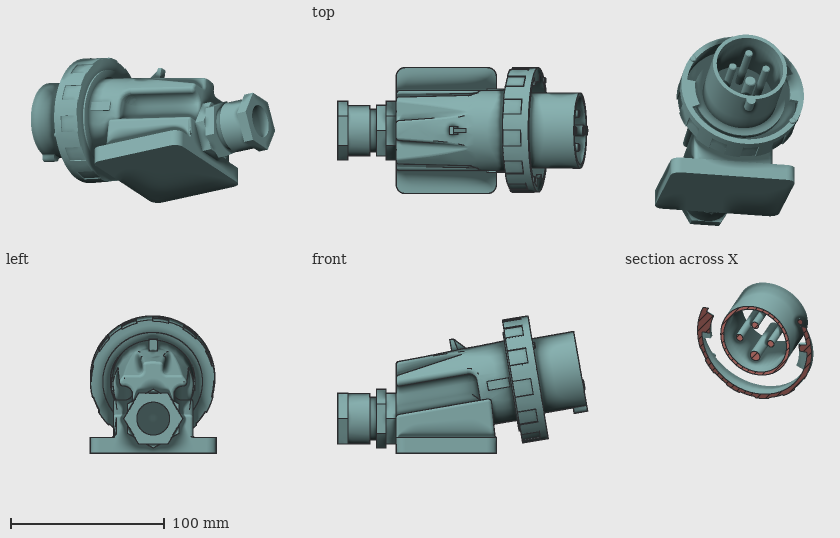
import cadquery as cq
import math


AXIS_TILT = 10.0
AXIS_Z = 34.1
RING_TILT = 9.35
RING_OFFSET_Y = 0.4
RING_REAR = (75.6, 46.7)

PLATE_LENGTH = 65.3
PLATE_WIDTH = 82.0
PLATE_HEIGHT = 10.4
PLATE_CORNER_RADIUS = 6.0
FOOT_WIDTH = 51.8
FOOT_TOP_LENGTH = 61.8
FOOT_BOTTOM_LENGTH = 64.4
FOOT_EDGE_RADIUS = 2.3
REAR_EDGE_RADIUS = 2.0
FOOT_BASE_RADIUS = 1.0
EDGE_MARGIN = 0.05

BODY_REAR_RADIUS = 24.9
BODY_FRONT_RADIUS = 26.5
BODY_END = 82.0
FLANGE_START = 82.0
FLANGE_RADIUS = 30.0
FLANGE_THICKNESS = 3.0
SLEEVE_RADIUS = 24.5
SLEEVE_BORE_RADIUS = 22.0
SLEEVE_END = 121.5
SLEEVE_DEPTH = 40.0
REAR_OVERRUN = 12.0

CHANNEL_END = 54.0
CHANNEL_WALL_Y = 13.5
CHANNEL_HALF_HEIGHT = 9.0
CHANNEL_RADIUS = 5.5
CHANNEL_CORNER_RADIUS = 5.0
CHANNEL_LIP_RADIUS = 2.5

GROOVE_SLOPE = 18.2
GROOVE_REAR_Z = 50.3
GROOVE_WALL_REAR_Y = 6.3
GROOVE_TIP_X = 50.5
GROOVE_TIP_Y = 10.0
GROOVE_FILLET = 3.0
GROOVE_RIM_RADIUS = 2.0

NUB_WIDTH = 5.4
NUB_FIN_WIDTH = 2.4
NUB_REAR_FOOT = (36.5, 64.0)
NUB_REAR_TOP = (34.8, 74.0)
NUB_CREST = (37.4, 74.3)
NUB_FRONT_FOOT = (41.5, 64.0)
NUB_FIN_TIP = (48.0, 66.4)

STRIP_START = 60.3
STRIP_END = 74.6
STRIP_HEIGHT = 5.9
STRIP_CENTER = -0.8
STRIP_FACE_Y = 27.1

KEY_WIDTH = 6.0
KEY_REACH = 28.2
KEY_LENGTH = 9.0
PIN_CIRCLE_RADIUS = 11.0
PHASE_PIN_DIAMETER = 5.0
PHASE_PIN_SETBACK = 0.5
EARTH_PIN_DIAMETER = 7.0
EARTH_PIN_PROJECTION = 0.8
PIN_TIP_CHAMFER = 0.6

GLAND_Z = 22.6
GLAND_HEX_ACROSS_FLATS = 33.2
GLAND_BASE_HEX_LENGTH = 6.4
GLAND_LOCK_HEX_LENGTH = 6.4
GLAND_NECK_LENGTH = 4.2
GLAND_BARREL_LENGTH = 14.3
GLAND_CAP_HEX_LENGTH = 6.6
GLAND_NECK_DIAMETER = 28.0
GLAND_BARREL_DIAMETER = 32.8
GLAND_BORE_DIAMETER = 21.4

RING_RADIUS = 40.5
RING_LENGTH = 17.0
RING_BORE_RADIUS = 27.5
RING_CAVITY_RADIUS = 37.0
RING_REAR_WALL = 5.0
COLLAR_RADIUS = 32.4
COLLAR_LENGTH = 1.0
GRIP_COUNT = 12
GRIP_ANGLE = 15.0
GRIP_LENGTH = 12.0
GRIP_DEPTH = 0.8
LUG_INNER_RADIUS = 31.5
LUG_START_ANGLE = -8.0
LUG_ANGLE = 32.0
LUG_THICKNESS = 3.0
KNOB_CIRCLE_RADIUS = 38.4
KNOB_ANGLE = -33.0
KNOB_DIAMETER = 4.0
KNOB_HEIGHT = 1.4
KNOB_CHAMFER = 0.5

TILT = math.radians(AXIS_TILT)


def tilted_plane(tilt, origin):
    """Plane across a tilted axis: local x is +Y, local y points up, the normal points forward."""
    angle = math.radians(tilt)
    return cq.Plane(origin=origin, xDir=(0, 1, 0), normal=(math.cos(angle), 0, math.sin(angle)))


def plug_section(station):
    """Workplane across the plug axis at a distance along it."""
    origin = (station * math.cos(TILT), 0, AXIS_Z + station * math.sin(TILT))
    return cq.Workplane(tilted_plane(AXIS_TILT, origin))


def mirrored_pair(shape):
    return shape.union(shape.mirror("XZ"))


def side_profile(points, width):
    """Extrude an XZ outline symmetrically about the middle plane."""
    return cq.Workplane("XZ").polyline(points).close().extrude(width / 2, both=True)


def annular_sector(plane, inner, outer, start, sweep, length):
    """Extruded ring segment between two radii and two angles."""
    def at(radius, angle):
        turn = math.radians(angle)
        return (radius * math.cos(turn), radius * math.sin(turn))
    middle, end = start + sweep / 2, start + sweep
    return (cq.Workplane(plane)
            .moveTo(*at(inner, start)).lineTo(*at(outer, start))
            .threePointArc(at(outer, middle), at(outer, end))
            .lineTo(*at(inner, end))
            .threePointArc(at(inner, middle), at(inner, start))
            .close().extrude(length))


def round_body():
    """Slightly conical body, starting behind the rear face."""
    slope = (BODY_FRONT_RADIUS - BODY_REAR_RADIUS) / BODY_END
    start_radius = BODY_REAR_RADIUS - slope * REAR_OVERRUN
    length = BODY_END + REAR_OVERRUN
    return (plug_section(-REAR_OVERRUN).circle(start_radius)
            .workplane(offset=length).circle(BODY_FRONT_RADIUS).loft(combine=True))


def foot():
    """Block that carries the round body on the plate; its top runs along the channel floor."""
    top_rear_z = AXIS_Z - CHANNEL_HALF_HEIGHT / math.cos(TILT)
    top_front_z = top_rear_z + FOOT_TOP_LENGTH * math.tan(TILT)
    outline = [(0, PLATE_HEIGHT), (FOOT_BOTTOM_LENGTH, PLATE_HEIGHT),
               (FOOT_TOP_LENGTH, top_front_z), (0, top_rear_z)]
    block = side_profile(outline, FOOT_WIDTH)
    front_edges = block.faces(">X").edges("not <Z")
    side_edges = block.faces(">Z").edges("not |Y")
    return block.newObject([*front_edges.vals(), *side_edges.vals()]).fillet(FOOT_EDGE_RADIUS)


def side_channel():
    """Rounded channel along the +Y side, between the foot and the round body."""
    length = CHANNEL_END + REAR_OVERRUN
    middle_y = (CHANNEL_WALL_Y + FOOT_WIDTH) / 2
    channel = (plug_section(-REAR_OVERRUN).center(middle_y, 0)
               .rect(FOOT_WIDTH - CHANNEL_WALL_Y, 2 * CHANNEL_HALF_HEIGHT).extrude(length))
    channel = channel.faces(">X").edges("|Y").edges(">Z").fillet(CHANNEL_CORNER_RADIUS)
    return channel.faces("<Y").edges().fillet(CHANNEL_RADIUS)


def top_groove():
    """Wedge-shaped groove beside the +Y side of the crest, running out at its tip."""
    tip_z = GROOVE_REAR_Z + GROOVE_TIP_X * math.tan(math.radians(GROOVE_SLOPE))
    floor_outline = [(0, GROOVE_REAR_Z), (GROOVE_TIP_X, tip_z), (0, tip_z + REAR_OVERRUN)]
    wedge = cq.Workplane("XZ").polyline(floor_outline).close().extrude(-FOOT_WIDTH)
    plan = (cq.Workplane("XY").polyline([(0, GROOVE_WALL_REAR_Y), (GROOVE_TIP_X, GROOVE_TIP_Y),
                                         (GROOVE_TIP_X, FOOT_WIDTH), (0, FOOT_WIDTH)])
            .close().extrude(2 * PLATE_WIDTH))
    wedge = wedge.intersect(plan)
    return wedge.faces("<Y").edges("<Z").fillet(GROOVE_FILLET)


def groove_rims(body):
    """Long curved edges where the top grooves break out of the round body."""
    rims = []
    for edge in body.edges("not #X").vals():
        box = edge.BoundingBox()
        along_groove = GROOVE_TIP_X / 2 < box.xlen < BODY_END - REAR_OVERRUN
        if along_groove and edge.geomType() != "LINE" and box.zmin > GROOVE_REAR_Z - EDGE_MARGIN:
            rims.append(edge)
    return body.newObject(rims)


def channel_lips(body):
    """Curved edges where the side channels break out of the round body."""
    lips = []
    for edge in body.edges("not #X").vals():
        box = edge.BoundingBox()
        outside = min(abs(box.ymin), abs(box.ymax)) > BODY_REAR_RADIUS - CHANNEL_LIP_RADIUS
        above_foot = box.zmin > AXIS_Z and edge.geomType() != "LINE"
        if outside and above_foot and box.xmax < BODY_END - REAR_OVERRUN:
            lips.append(edge)
    return body.newObject(lips)


def upper_housing():
    behind = cq.Workplane("YZ").rect(4 * PLATE_WIDTH, 4 * PLATE_WIDTH).extrude(-4 * REAR_OVERRUN)
    body = round_body().cut(behind)
    body = body.cut(mirrored_pair(top_groove()))
    body = groove_rims(body).fillet(GROOVE_RIM_RADIUS)
    body = body.cut(mirrored_pair(side_channel()))
    body = channel_lips(body).fillet(CHANNEL_LIP_RADIUS)
    body = body.union(foot())
    rear_edges = cq.selectors.BoxSelector(
        (-EDGE_MARGIN, -PLATE_WIDTH, PLATE_HEIGHT + EDGE_MARGIN), (EDGE_MARGIN, PLATE_WIDTH, PLATE_WIDTH))
    return body.edges(rear_edges).fillet(REAR_EDGE_RADIUS)


plate = (cq.Workplane("XY").box(PLATE_LENGTH, PLATE_WIDTH, PLATE_HEIGHT, centered=(False, True, False))
         .edges("|Z").fillet(PLATE_CORNER_RADIUS))


def housing_on_plate():
    """Upper housing joined to the plate, with a small fillet around the foot."""
    joined = upper_housing().union(plate)
    half_width = FOOT_WIDTH / 2 + EDGE_MARGIN
    foot_outline = cq.selectors.BoxSelector(
        (0, -half_width, PLATE_HEIGHT - EDGE_MARGIN),
        (PLATE_LENGTH, half_width, PLATE_HEIGHT + EDGE_MARGIN))
    return joined.edges(foot_outline).edges("|X").fillet(FOOT_BASE_RADIUS)


def latch_nub():
    block = side_profile([NUB_REAR_FOOT, NUB_REAR_TOP, NUB_CREST, NUB_FRONT_FOOT], NUB_WIDTH)
    fin = side_profile([NUB_CREST, NUB_FIN_TIP, NUB_FRONT_FOOT], NUB_FIN_WIDTH)
    return block.union(fin)


def side_strips():
    return (plug_section(STRIP_START).center(0, STRIP_CENTER)
            .rect(2 * STRIP_FACE_Y, STRIP_HEIGHT).extrude(STRIP_END - STRIP_START))


def retaining_flange():
    """Flange that holds the coupling ring from inside its cavity."""
    return plug_section(FLANGE_START).circle(FLANGE_RADIUS).extrude(FLANGE_THICKNESS)


def sleeve():
    """Plug sleeve with its key below and its pocket open to the front."""
    shell_start = BODY_END - 1
    shell = plug_section(shell_start).circle(SLEEVE_RADIUS).extrude(SLEEVE_END - shell_start)
    key_plane = plug_section(SLEEVE_END - KEY_LENGTH)
    key_center = KEY_REACH - KEY_WIDTH / 2
    key = key_plane.center(0, -key_center).circle(KEY_WIDTH / 2).extrude(KEY_LENGTH)
    web = (plug_section(SLEEVE_END - KEY_LENGTH).center(0, -(key_center + SLEEVE_BORE_RADIUS) / 2)
           .rect(KEY_WIDTH, key_center - SLEEVE_BORE_RADIUS).extrude(KEY_LENGTH))
    pocket = plug_section(SLEEVE_END - SLEEVE_DEPTH).circle(SLEEVE_BORE_RADIUS).extrude(SLEEVE_DEPTH)
    return shell.union(key).union(web).cut(pocket)


def contact_pin(across, up, diameter, tip):
    floor = SLEEVE_END - SLEEVE_DEPTH - 1
    pin = plug_section(floor).center(across, up).circle(diameter / 2).extrude(tip - floor)
    return pin.faces(">X").chamfer(PIN_TIP_CHAMFER)


housing = housing_on_plate().union(latch_nub()).union(side_strips()).union(retaining_flange())
housing = housing.union(sleeve())
r = PIN_CIRCLE_RADIUS
for across, up in [(-r, 0), (r, 0), (0, r)]:
    housing = housing.union(contact_pin(across, up, PHASE_PIN_DIAMETER, SLEEVE_END - PHASE_PIN_SETBACK))
housing = housing.union(contact_pin(0, -r, EARTH_PIN_DIAMETER, SLEEVE_END + EARTH_PIN_PROJECTION))


def cable_gland():
    across_corners = GLAND_HEX_ACROSS_FLATS / math.cos(math.pi / 6)

    def section(x):
        return cq.Workplane("YZ", origin=(-x, 0, GLAND_Z))

    x = 0
    gland = section(x).polygon(6, across_corners).extrude(-GLAND_BASE_HEX_LENGTH)
    x += GLAND_BASE_HEX_LENGTH
    lock_hex = section(x).transformed(rotate=(0, 0, 30)).polygon(6, across_corners)
    gland = gland.union(lock_hex.extrude(-GLAND_LOCK_HEX_LENGTH))
    x += GLAND_LOCK_HEX_LENGTH
    gland = gland.union(section(x).circle(GLAND_NECK_DIAMETER / 2).extrude(-GLAND_NECK_LENGTH))
    x += GLAND_NECK_LENGTH
    gland = gland.union(section(x).circle(GLAND_BARREL_DIAMETER / 2).extrude(-GLAND_BARREL_LENGTH))
    x += GLAND_BARREL_LENGTH
    gland = gland.union(section(x).polygon(6, across_corners).extrude(-GLAND_CAP_HEX_LENGTH))
    x += GLAND_CAP_HEX_LENGTH
    return gland.cut(section(0).circle(GLAND_BORE_DIAMETER / 2).extrude(-x))


gland = cable_gland()


def ring_plane(station):
    angle = math.radians(RING_TILT)
    rear_x, rear_z = RING_REAR
    origin = (rear_x + station * math.cos(angle), RING_OFFSET_Y, rear_z + station * math.sin(angle))
    return tilted_plane(RING_TILT, origin)


def coupling_ring():
    ring = cq.Workplane(ring_plane(0)).circle(RING_RADIUS).extrude(RING_LENGTH)
    ring = ring.union(cq.Workplane(ring_plane(-COLLAR_LENGTH)).circle(COLLAR_RADIUS).extrude(RING_REAR_WALL))
    bore = cq.Workplane(ring_plane(-COLLAR_LENGTH)).circle(RING_BORE_RADIUS).extrude(RING_LENGTH)
    cavity = cq.Workplane(ring_plane(RING_REAR_WALL)).circle(RING_CAVITY_RADIUS).extrude(RING_LENGTH)
    ring = ring.cut(bore).cut(cavity)
    for i in range(GRIP_COUNT):
        start = i * 360 / GRIP_COUNT
        ring = ring.cut(annular_sector(ring_plane(0), RING_RADIUS - GRIP_DEPTH, RING_RADIUS + 1,
                                       start, GRIP_ANGLE, GRIP_LENGTH))
    for turn in (0, 180):
        ring = ring.union(annular_sector(ring_plane(RING_LENGTH - LUG_THICKNESS), LUG_INNER_RADIUS,
                                         (RING_CAVITY_RADIUS + RING_RADIUS) / 2,
                                         turn + LUG_START_ANGLE, LUG_ANGLE, LUG_THICKNESS))
        knob_turn = math.radians(turn + KNOB_ANGLE)
        knob = (cq.Workplane(ring_plane(RING_LENGTH))
                .center(KNOB_CIRCLE_RADIUS * math.cos(knob_turn), KNOB_CIRCLE_RADIUS * math.sin(knob_turn))
                .circle(KNOB_DIAMETER / 2).extrude(KNOB_HEIGHT)
                .faces(">X").chamfer(KNOB_CHAMFER))
        ring = ring.union(knob)
    return ring


ring = coupling_ring()

result = cq.Compound.makeCompound([housing.val(), gland.val(), ring.val()])